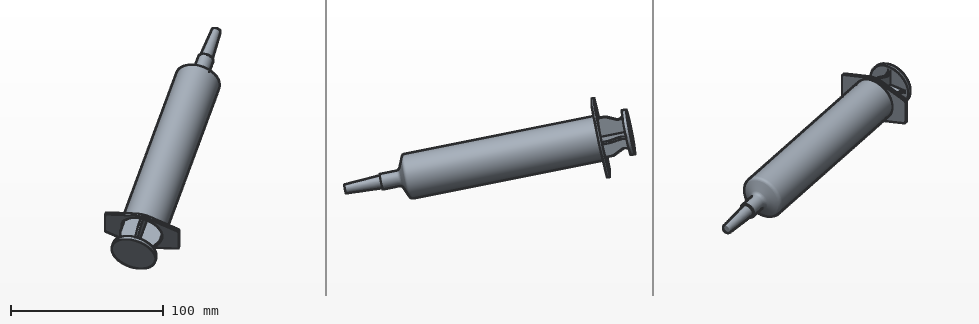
import cadquery as cq
import math


overall_length = 191.0
nozzle_start = 166.7
neck_start = 154.0
shoulder_start = 149.7
flange_back = 21.0
flange_thickness = 2.0
flange_face = flange_back - flange_thickness
bore_end = 148.2

barrel_radius = 30.0 / 2
bore_radius = 28.0 / 2
neck_radius = 10.5 / 2
nozzle_base_radius = 4.4
nozzle_tip_radius = 3.0
shoulder_blend_radius = 2.5
nozzle_lip_radius = 0.5

flange_half_width = 50.5 / 2
flange_crown_radius = 32.7 / 2
flange_taper = math.radians(17.5)
flange_corner_radius = 2.0

button_radius = 30.0 / 2
button_thickness = 2.9
rib_half_width = 27.0 / 2
rib_thickness = 1.7
rib_taper_start = 14.1
waist_start = 7.6
waist_start_half_width = 10.3
waist_middle = 6.0
waist_half_width = 10.0
rib_foot_half_width = 12.6


def ring_selector(radius, y):
    """Select the circular edge of this radius, centred on the axis at this Y."""
    margin = 0.1
    size = radius + margin
    return cq.selectors.BoxSelector(
        (-size, y - margin, -size), (size, y + margin, size), boundingbox=True
    )


def make_barrel_shell():
    """Solid barrel with a conical shoulder, a neck and a tapered nozzle."""
    shell = (
        cq.Workplane("XY")
        .moveTo(0, flange_face)
        .lineTo(barrel_radius, flange_face)
        .lineTo(barrel_radius, shoulder_start)
        .lineTo(neck_radius, neck_start)
        .lineTo(neck_radius, nozzle_start)
        .lineTo(nozzle_base_radius, nozzle_start)
        .lineTo(nozzle_tip_radius, overall_length)
        .lineTo(0, overall_length)
        .close()
        .revolve(360, (0, 0, 0), (0, 1, 0))
    )
    for radius, y in ((barrel_radius, shoulder_start), (neck_radius, neck_start)):
        shell = shell.edges(ring_selector(radius, y)).fillet(shoulder_blend_radius)
    return shell.edges(ring_selector(nozzle_tip_radius, overall_length)).fillet(nozzle_lip_radius)


def make_flange():
    """Plate with rounded crowns at +Z and -Z, sloping to two upright ends."""
    crown_x = flange_crown_radius * math.sin(flange_taper)
    crown_z = flange_crown_radius * math.cos(flange_taper)
    end_z = crown_z - (flange_half_width - crown_x) * math.tan(flange_taper)
    plate = (
        cq.Workplane("XZ", origin=(0, flange_back, 0))
        .moveTo(-crown_x, crown_z)
        .threePointArc((0, flange_crown_radius), (crown_x, crown_z))
        .lineTo(flange_half_width, end_z)
        .lineTo(flange_half_width, -end_z)
        .lineTo(crown_x, -crown_z)
        .threePointArc((0, -flange_crown_radius), (-crown_x, -crown_z))
        .lineTo(-flange_half_width, -end_z)
        .lineTo(-flange_half_width, end_z)
        .close()
        .extrude(flange_thickness)
    )
    return plate.faces("<X or >X").edges("|Y").fillet(flange_corner_radius)


def make_barrel():
    """Barrel and flange in one piece, with a blind bore open at the flange."""
    bore = (
        cq.Workplane("XZ", origin=(0, bore_end, 0))
        .circle(bore_radius)
        .extrude(bore_end - flange_face)
    )
    return make_barrel_shell().union(make_flange()).cut(bore)


def make_rib():
    """Flat waisted rib in the XY plane, reaching from the button to the bore end."""
    return (
        cq.Workplane("XY")
        .moveTo(rib_foot_half_width, button_thickness)
        .threePointArc((waist_half_width, waist_middle), (waist_start_half_width, waist_start))
        .lineTo(rib_half_width, rib_taper_start)
        .lineTo(rib_half_width, bore_end)
        .lineTo(-rib_half_width, bore_end)
        .lineTo(-rib_half_width, rib_taper_start)
        .lineTo(-waist_start_half_width, waist_start)
        .threePointArc((-waist_half_width, waist_middle), (-rib_foot_half_width, button_thickness))
        .close()
        .extrude(rib_thickness / 2, both=True)
    )


def make_plunger():
    """Round thumb button carrying two crossed ribs."""
    plunger = cq.Workplane("XZ").circle(button_radius).extrude(-button_thickness)
    for angle in (0, 90):
        plunger = plunger.union(make_rib().rotate((0, 0, 0), (0, 1, 0), angle))
    return plunger


barrel = make_barrel()
plunger = make_plunger()

result = cq.Compound.makeCompound([barrel.val(), plunger.val()])